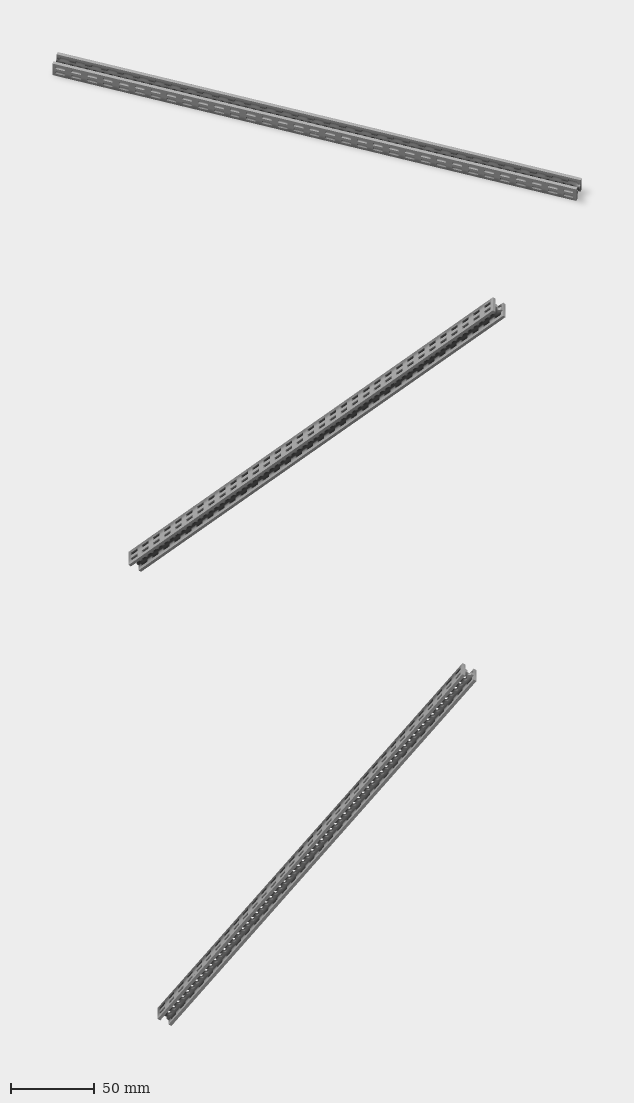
import cadquery as cq

beam_length = 330.0
beam_size = 10.0

flange_thickness = 2.0
web_thickness = 2.0

web_hole_diameter = 3.0
web_hole_pitch = 5.0

slot_length = 6.0
slot_height = 2.0
slot_pitch = 10.0
slot_row_spacing = web_thickness + slot_height


def h_beam():
    """Two upright flanges joined at mid-height by a flat web."""
    beam = cq.Workplane("XY").box(beam_length, beam_size, web_thickness)
    flange = cq.Workplane("XY").box(beam_length, flange_thickness, beam_size)
    flange_offset = (beam_size - flange_thickness) / 2
    for side in (-1, 1):
        beam = beam.union(flange.translate((0, side * flange_offset, 0)))
    return beam


def web_holes():
    """Vertical round cutters spaced along the full length of the web."""
    hole_count = round(beam_length / web_hole_pitch) + 1
    return (
        cq.Workplane("XY")
        .rarray(web_hole_pitch, 1, hole_count, 1)
        .circle(web_hole_diameter / 2)
        .extrude(web_thickness, both=True)
    )


def flange_slots():
    """Rectangular cutters running across the beam through both flanges."""
    slot_count = round(beam_length / slot_pitch)
    return (
        cq.Workplane("XZ")
        .rarray(slot_pitch, slot_row_spacing, slot_count, 2)
        .rect(slot_length, slot_height)
        .extrude(beam_size, both=True)
    )


result = h_beam().cut(web_holes()).cut(flange_slots())